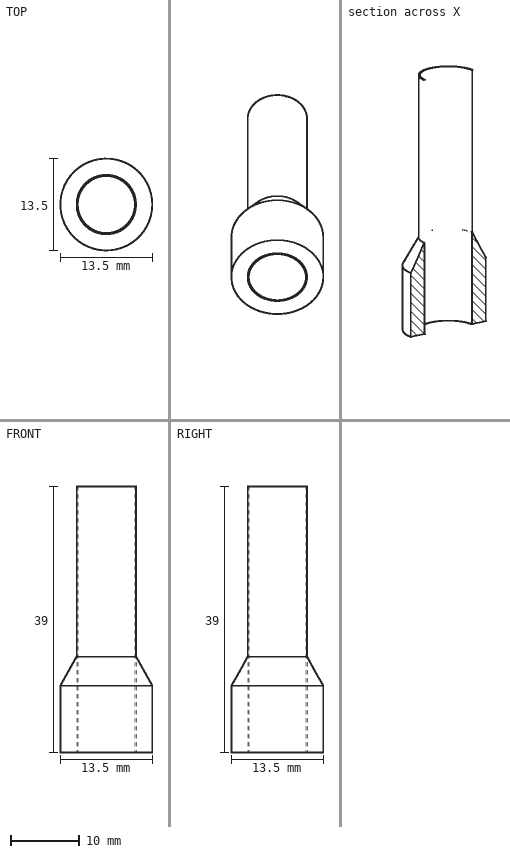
import cadquery as cq

total_length = 39.0
sleeve_diameter = 8.75
sleeve_wall = 0.2
collar_diameter = 13.5
collar_straight_height = 9.83
collar_height = 14.08

sleeve_radius = sleeve_diameter / 2
collar_radius = collar_diameter / 2


def make_sleeve():
    """Thin-walled tube, open at both ends, over the full length."""
    bore_radius = sleeve_radius - sleeve_wall
    return cq.Workplane("XY").circle(sleeve_radius).circle(bore_radius).extrude(total_length)


def make_collar():
    """Ring with a straight skirt and a cone that narrows to the sleeve."""
    half_section = [
        (sleeve_radius, 0),
        (collar_radius, 0),
        (collar_radius, collar_straight_height),
        (sleeve_radius, collar_height),
    ]
    return cq.Workplane("XZ").polyline(half_section).close().revolve(360, (0, 0), (0, 1))


sleeve = make_sleeve()
collar = make_collar()

result = cq.Compound.makeCompound([sleeve.val(), collar.val()])